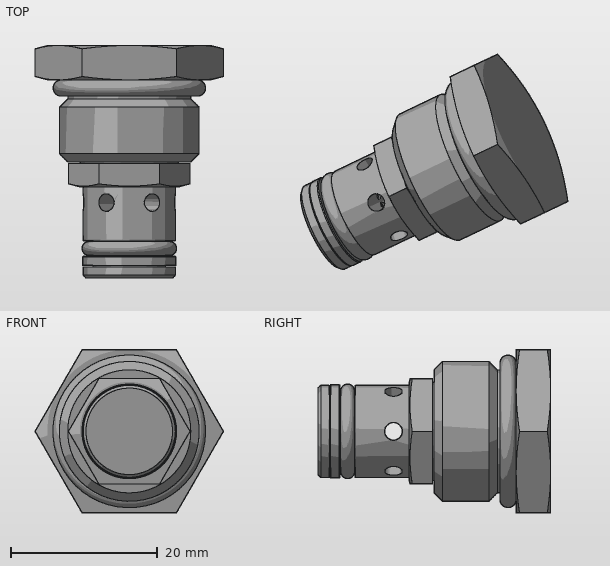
import cadquery as cq
import math

FULL_LENGTH = 31.68
HEX_CHAMFER_ANGLE = math.radians(15)

HEAD_CORNERS = 25.65
HEAD_LENGTH = 4.7
NECK_RADIUS = 16.75 / 2
BARREL_RADIUS = 19.05 / 2
BARREL_BEVEL = BARREL_RADIUS - NECK_RADIUS
NECK_END = 7.25
BARREL_END = 15.87
PLUG_RING_RADIUS = 20.78 / 2
PLUG_RING_SECTION = 2.22

COLLAR_RADIUS = 13.4 / 2
CARTRIDGE_HEX_CORNERS = 16.55
CARTRIDGE_HEX_START = 16.05
CARTRIDGE_HEX_END = 19.25
SLEEVE_RADIUS = 12.6 / 2
LAND_RADIUS = 12.7 / 2
EDGE_RADIUS = 12.5 / 2
EDGE_LENGTH = 0.15
SLEEVE_END = 26.6
RING_GROOVE_RADIUS = 9.82 / 2
LAND_START = 28.65
LAND_END = 29.95
END_GROOVE_RADIUS = 9.9 / 2
END_LAND_START = 30.13
END_CHAMFER = 0.4
CARTRIDGE_RING_RADIUS = 12.9 / 2
CARTRIDGE_RING_SECTION = 1.9

HOLE_DIAMETER = 2.38
HOLE_DEPTH = 21.38
DRILLING_COUNT = 3


def turned(profile):
    """Revolve (radius, depth) points, closed along the axis, about Y."""
    start, end = profile[0][1], profile[-1][1]
    points = [(0, -start)] + [(radius, -depth) for radius, depth in profile] + [(0, -end)]
    return cq.Workplane("XY").polyline(points).close().revolve(360, (0, 0), (0, 1))


def hexagon(corners, start, end, rim_radius, chamfer_start):
    """Hexagon bar with corners on X, coned off outside rim_radius at its end faces."""
    corner_radius = corners / 2
    bevel = (corner_radius - rim_radius) * math.tan(HEX_CHAMFER_ANGLE)
    bar = cq.Workplane("XZ", origin=(0, -start, 0)).polygon(6, corners).extrude(end - start)
    envelope = [(corner_radius, end - bevel), (rim_radius, end)]
    if chamfer_start:
        envelope = [(rim_radius, start), (corner_radius, start + bevel)] + envelope
    else:
        envelope = [(corner_radius, start)] + envelope
    return bar.intersect(turned(envelope))


def o_ring(outer_radius, section, depth):
    """Round-section ring centred at the given depth."""
    centre_radius = outer_radius - section / 2
    return cq.Workplane("XY").center(centre_radius, -depth).circle(section / 2).revolve(
        360, (-centre_radius, 0), (-centre_radius, 1)
    )


def make_plug():
    flats_radius = HEAD_CORNERS / 2 * math.cos(math.pi / 6)
    head = hexagon(HEAD_CORNERS, 0, HEAD_LENGTH, flats_radius, chamfer_start=True)
    barrel = turned([
        (NECK_RADIUS, HEAD_LENGTH),
        (NECK_RADIUS, NECK_END),
        (BARREL_RADIUS, NECK_END + BARREL_BEVEL),
        (BARREL_RADIUS, BARREL_END - BARREL_BEVEL),
        (NECK_RADIUS, BARREL_END),
    ])
    ring = o_ring(PLUG_RING_RADIUS, PLUG_RING_SECTION, HEAD_LENGTH + PLUG_RING_SECTION / 2)
    return head.union(barrel).union(ring)


def cross_drillings():
    """Through holes spread evenly around Y, the first along X."""
    drill_length = 4 * SLEEVE_RADIUS
    drill = (
        cq.Workplane("YZ", origin=(-drill_length / 2, -HOLE_DEPTH, 0))
        .circle(HOLE_DIAMETER / 2)
        .extrude(drill_length)
    )
    drills = drill
    for index in range(1, DRILLING_COUNT):
        drills = drills.union(drill.rotate((0, 0, 0), (0, 1, 0), index * 180 / DRILLING_COUNT))
    return drills


def make_cartridge():
    collar = turned([(COLLAR_RADIUS, BARREL_END), (COLLAR_RADIUS, CARTRIDGE_HEX_START)])
    hex_section = hexagon(
        CARTRIDGE_HEX_CORNERS, CARTRIDGE_HEX_START, CARTRIDGE_HEX_END, COLLAR_RADIUS, chamfer_start=False
    )
    sleeve = turned([
        (SLEEVE_RADIUS, CARTRIDGE_HEX_END),
        (SLEEVE_RADIUS, SLEEVE_END - EDGE_LENGTH),
        (EDGE_RADIUS, SLEEVE_END),
        (RING_GROOVE_RADIUS, SLEEVE_END),
        (RING_GROOVE_RADIUS, LAND_START),
        (EDGE_RADIUS, LAND_START),
        (LAND_RADIUS, LAND_START + EDGE_LENGTH),
        (LAND_RADIUS, LAND_END),
        (END_GROOVE_RADIUS, LAND_END),
        (END_GROOVE_RADIUS, END_LAND_START),
        (EDGE_RADIUS, END_LAND_START),
        (SLEEVE_RADIUS, END_LAND_START + EDGE_LENGTH),
        (SLEEVE_RADIUS, FULL_LENGTH - END_CHAMFER),
        (SLEEVE_RADIUS - END_CHAMFER, FULL_LENGTH),
    ])
    ring_depth = (SLEEVE_END + LAND_START) / 2
    ring = o_ring(CARTRIDGE_RING_RADIUS, CARTRIDGE_RING_SECTION, ring_depth)
    return collar.union(hex_section).union(sleeve).union(ring).cut(cross_drillings())


plug = make_plug()
cartridge = make_cartridge()

result = cq.Compound.makeCompound([plug.val(), cartridge.val()])